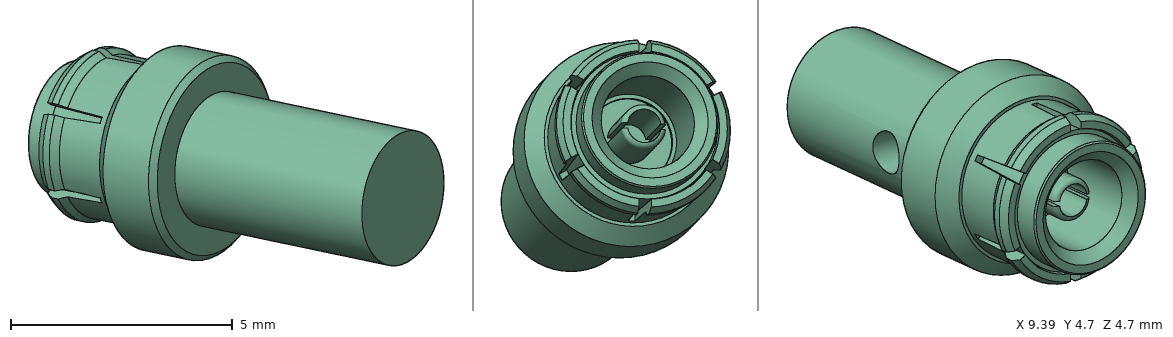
import cadquery as cq

total_length = 9.39

sleeve_radius = 1.57
sleeve_edge_break = 0.04
socket_mouth_radius = 1.33
socket_radius = 1.07
socket_floor_x = 2.31
floor_recess_radius = 0.98
floor_recess_depth = 0.09

collet_front_x = 0.56
collet_radius = 1.89
collet_bore_radius = 1.71
bead_radius = 2.0
bead_crest_start_x = 0.76
bead_crest_end_x = 0.94
bead_end_x = 1.14
land_front_x = 0.66
land_radius = 1.68

slot_count = 6
slot_end_x = 2.12
slot_mouth_width = 0.28
slot_end_width = 0.15

collar_front_x = 2.33
collar_diameter = 4.7
collar_radius = collar_diameter / 2
collar_front_chamfer = 0.385
collar_back_x = 4.13
collar_back_chamfer = 0.14

tube_radius = 1.55
side_hole_radius = 0.5
side_hole_x = 5.65

contact_tip_x = 0.66
contact_radius = 0.51
contact_bore_radius = 0.385
contact_slot_width = 0.12


def revolve_profile(points):
    """Turn a closed (x, radius) outline around the X axis."""
    return cq.Workplane("XY").polyline(points).close().revolve(360, (0, 0, 0), (1, 0, 0))


def make_body():
    """Sleeve, land under the collet, collar and tube, without the socket."""
    return revolve_profile([
        (0, 0),
        (0, sleeve_radius - sleeve_edge_break),
        (sleeve_edge_break, sleeve_radius),
        (land_front_x, sleeve_radius),
        (land_front_x, land_radius),
        (collar_front_x, land_radius),
        (collar_front_x, collar_radius - collar_front_chamfer),
        (collar_front_x + collar_front_chamfer, collar_radius),
        (collar_back_x - collar_back_chamfer, collar_radius),
        (collar_back_x, collar_radius - collar_back_chamfer),
        (collar_back_x, tube_radius),
        (total_length, tube_radius),
        (total_length, 0),
    ])


def make_slot_cutter():
    """Wedge that narrows toward the root of the fingers, above the land."""
    return (
        cq.Workplane("XY")
        .workplane(offset=land_radius)
        .polyline([
            (collet_front_x, -slot_mouth_width / 2),
            (slot_end_x, -slot_end_width / 2),
            (slot_end_x, slot_end_width / 2),
            (collet_front_x, slot_mouth_width / 2),
        ])
        .close()
        .extrude(bead_radius - land_radius)
    )


def make_collet():
    """Beaded ring, free of the land up to the slot ends, split by radial slots."""
    collet = revolve_profile([
        (collet_front_x, collet_bore_radius),
        (collet_front_x, collet_radius),
        (bead_crest_start_x, bead_radius),
        (bead_crest_end_x, bead_radius),
        (bead_end_x, collet_radius),
        (collar_front_x, collet_radius),
        (collar_front_x, land_radius),
        (slot_end_x, land_radius),
        (slot_end_x, collet_bore_radius),
    ])
    slot = make_slot_cutter()
    for index in range(slot_count):
        angle = index * 360 / slot_count
        collet = collet.cut(slot.rotate((0, 0, 0), (1, 0, 0), angle))
    return collet


def make_socket():
    """Bore with a 45 degree lead-in and a shallow recess in its floor."""
    recess_x = socket_floor_x + floor_recess_depth
    return revolve_profile([
        (0, 0),
        (0, socket_mouth_radius),
        (socket_mouth_radius - socket_radius, socket_radius),
        (socket_floor_x, socket_radius),
        (socket_floor_x, floor_recess_radius),
        (recess_x, floor_recess_radius),
        (recess_x, 0),
    ])


def make_contact():
    """Two prongs on the recess floor, rounded at the tip to a sharp inner edge."""
    root_x = socket_floor_x + floor_recess_depth
    tip_round = contact_radius - contact_bore_radius
    prongs = (
        cq.Workplane("XY")
        .moveTo(contact_tip_x, contact_bore_radius)
        .radiusArc((contact_tip_x + tip_round, contact_radius), tip_round)
        .lineTo(root_x, contact_radius)
        .lineTo(root_x, contact_bore_radius)
        .close()
        .revolve(360, (0, 0, 0), (1, 0, 0))
    )
    slot = (
        cq.Workplane("XY")
        .box(root_x - contact_tip_x, 2 * contact_radius, contact_slot_width, centered=(False, True, True))
        .translate((contact_tip_x, 0, 0))
    )
    return prongs.cut(slot)


def make_side_hole():
    """Blind radial hole from the +Y side of the tube to the axis."""
    return (
        cq.Workplane("XZ")
        .center(side_hole_x, 0)
        .circle(side_hole_radius)
        .extrude(-tube_radius)
    )


result = (
    make_body()
    .union(make_collet())
    .cut(make_socket())
    .union(make_contact())
    .cut(make_side_hole())
)